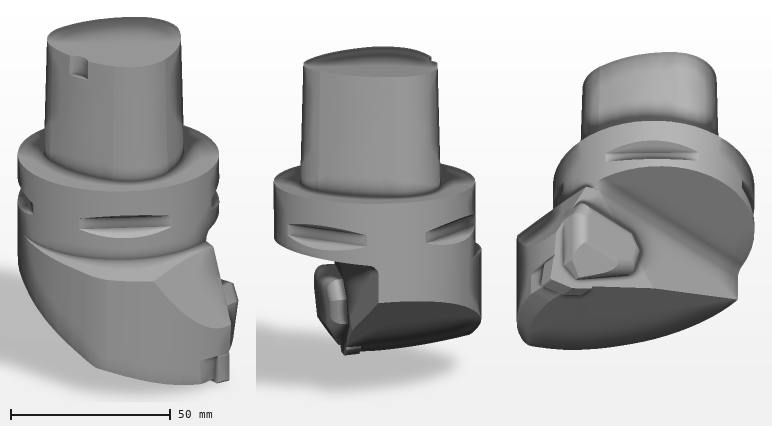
import cadquery as cq
import math


flange_radius = 31.5
flange_height = 23.0
groove_depth_z = 11.9
groove_floor_distance = 27.9
groove_floor_width = 3.5
groove_wall_angle = 30
groove_count = 4
first_groove_direction = 45

lobe_count = 3
first_side_direction = -90
shank_length = 38.0
shank_side_reach = 20.3
shank_lobe_reach = 23.5
shank_side_radius = 37.5
shank_shrink = 0.98
notch_radius = 5.0
notch_depth = 1.8
notch_height = 6.3

head_end_x = 44.4
head_front_y = -35.6
head_bottom = -72.1
tangent_line_direction = 238
tangent_line_length = 2.9
front_flat_start_x = 10.9
front_flat_end_x = 16.8
end_arc_radius = 38.8
end_arc_start_x = 24.1
end_arc_middle_direction = -30
shoulder_angle = 15
end_chamfer_x = 34.4
end_chamfer_z = -23.8
end_chamfer_angle = 23.7
underside_angle = 25
underside_z = -31.6
relief_arc_start = (-35.4, -55.8)
relief_arc_middle = (-25.3, -60.0)
relief_arc_end = (-9.3, -63.2)

back_face_y = 5.9
back_fillet_radius = 3.1
back_roof_edge_z = -18.0
back_roof_angle = 4.7
rake_angle_x = 5.9
rake_angle_z = 5.4
rake_start_x = 5.7
rake_start_z = -48.9
seat_step_x = 42.8
seat_step_z = -55.2

clamp_outline = [(18.5, -35.4), (13.9, -40.9), (16.0, -49.2), (35.5, -60.7),
                 (40.7, -57.7), (42.2, -41.0), (39.6, -35.4)]
clamp_top_y = 10.7
clamp_top_z = -39.1
clamp_top_angle = 5
clamp_nose_y = 9.2
clamp_nose_z = -52.2
clamp_nose_angle = 35
clamp_edge_radius = 3.7

insert_corner_count = 3
insert_inscribed_radius = 6.4
insert_corner_angle = 80
insert_nose_radius = 0.8
insert_thickness = 4.7
tip_direction = 45
insert_tip_x = 45.2
insert_tip_z = -65.1

clearance = 82.4


def point_on(center, radius, degrees):
    angle = math.radians(degrees)
    return (center[0] + radius * math.cos(angle), center[1] + radius * math.sin(angle))


def half_space(origin, x_direction, normal):
    """Large block that lies on the side of a plane that the normal points to."""
    plane = cq.Plane(origin=origin, xDir=x_direction, normal=normal)
    return cq.Workplane(plane).rect(2 * clearance, 2 * clearance).extrude(clearance)


rake_slope_x = math.tan(math.radians(rake_angle_x))
rake_slope_z = math.tan(math.radians(rake_angle_z))
rake_normal = (rake_slope_x, 1, -rake_slope_z)
rake_x_direction = (1, -rake_slope_x, 0)


def rake_y(x, z):
    """Y of the inclined plane that holds the rake face of the insert."""
    return back_face_y - rake_slope_x * (x - rake_start_x) + rake_slope_z * (z - rake_start_z)


def shank_profile(z, shrink):
    """Three flat arcs joined by three tangent lobe arcs; one lobe points to +Y."""
    side = shank_side_reach - shrink
    lobe = shank_lobe_reach - shrink
    side_radius = shank_side_radius - shrink
    side_offset = side_radius - side
    lobe_radius = (side_radius**2 - lobe**2 - side_offset**2 - lobe * side_offset) / (
        2 * side_radius - 2 * lobe - side_offset)
    lobe_offset = lobe - lobe_radius
    side_to_lobe = 180 / lobe_count
    lobe_along, lobe_across = point_on((side_offset, 0), lobe_offset, side_to_lobe)
    half_angle = math.degrees(math.atan2(lobe_across, lobe_along))
    center = point_on((0, 0), side_offset, first_side_direction + 180)
    first_point = point_on(center, side_radius, first_side_direction - half_angle)
    profile = cq.Workplane("XY", origin=(0, 0, z)).moveTo(*first_point)
    for index in range(lobe_count):
        direction = first_side_direction + 2 * side_to_lobe * index
        center = point_on((0, 0), side_offset, direction + 180)
        side_middle = point_on(center, side_radius, direction)
        side_end = point_on(center, side_radius, direction + half_angle)
        profile = profile.threePointArc(side_middle, side_end)
        next_direction = direction + 2 * side_to_lobe
        next_center = point_on((0, 0), side_offset, next_direction + 180)
        lobe_tip = point_on((0, 0), lobe, direction + side_to_lobe)
        lobe_end = point_on(next_center, side_radius, next_direction - half_angle)
        profile = profile.threePointArc(lobe_tip, lobe_end)
    return profile.close().val()


def make_shank():
    base = shank_profile(0, 0)
    end = shank_profile(shank_length, shank_shrink)
    shank = cq.Workplane(cq.Solid.makeLoft([base, end], True))
    notch_y = -(shank_side_reach - shank_shrink) + notch_depth - notch_radius
    notch = (cq.Workplane("XY", origin=(0, notch_y, shank_length - notch_height))
             .circle(notch_radius).extrude(notch_height))
    return shank.cut(notch)


def make_groove():
    """Straight trapezoidal groove on the +X side of the flange."""
    radial = flange_radius - groove_floor_distance
    floor_half = groove_floor_width / 2
    mouth_half = floor_half + radial * math.tan(math.radians(groove_wall_angle))
    return (cq.Workplane("XZ", origin=(0, 0, -groove_depth_z))
            .polyline([(groove_floor_distance, -floor_half), (flange_radius, -mouth_half),
                       (flange_radius, mouth_half), (groove_floor_distance, floor_half)])
            .close().extrude(flange_radius, both=True))


def make_flange():
    flange = cq.Workplane("XY").circle(flange_radius).extrude(-flange_height)
    for index in range(groove_count):
        direction = first_groove_direction + index * 360 / groove_count
        flange = flange.cut(make_groove().rotate((0, 0, 0), (0, 0, 1), direction))
    return flange


def make_head_block():
    """Upright block with the plan outline of the head."""
    end_center_x = head_end_x - end_arc_radius
    end_arc_start_y = -math.sqrt(end_arc_radius**2 - (end_arc_start_x - end_center_x)**2)
    leave = point_on((0, 0), flange_radius, tangent_line_direction)
    line_end = point_on(leave, tangent_line_length, tangent_line_direction + 90)
    back_left = (-math.sqrt(flange_radius**2 - back_face_y**2), back_face_y)
    end_arc_middle = point_on((end_center_x, 0), end_arc_radius, end_arc_middle_direction)
    return (cq.Workplane("XY", origin=(0, 0, -flange_height))
            .moveTo(*back_left)
            .threePointArc((-flange_radius, 0), leave)
            .lineTo(*line_end)
            .tangentArcPoint((front_flat_start_x, head_front_y), relative=False)
            .lineTo(front_flat_end_x, head_front_y)
            .tangentArcPoint((end_arc_start_x, end_arc_start_y), relative=False)
            .threePointArc(end_arc_middle, (head_end_x, 0))
            .lineTo(head_end_x, back_face_y)
            .close().extrude(head_bottom + flange_height))


def make_head():
    shoulder_drop = (clearance - flange_radius) * math.tan(math.radians(shoulder_angle))
    above_shoulder = (cq.Workplane("XZ")
                      .polyline([(flange_radius, -flange_height), (clearance, -flange_height),
                                 (clearance, -flange_height - shoulder_drop)])
                      .close().revolve(360, (0, 0, 0), (0, 1, 0)))
    chamfer = math.radians(end_chamfer_angle)
    beyond_end = half_space((end_chamfer_x, 0, end_chamfer_z), (0, 1, 0),
                            (math.cos(chamfer), 0, math.sin(chamfer)))
    slope = math.radians(underside_angle)
    below_underside = half_space((-flange_radius, 0, underside_z), (0, 1, 0),
                                 (-math.sin(slope), 0, -math.cos(slope)))
    below_relief = (cq.Workplane("YZ").moveTo(*relief_arc_start)
                    .threePointArc(relief_arc_middle, relief_arc_end)
                    .lineTo(back_face_y, relief_arc_end[1])
                    .lineTo(back_face_y, -clearance)
                    .lineTo(-clearance, -clearance)
                    .lineTo(-clearance, relief_arc_start[1])
                    .close().extrude(clearance))
    behind_rake = half_space((rake_start_x, back_face_y, rake_start_z), rake_x_direction, rake_normal)
    beside_seat = (cq.Workplane("XY", origin=(seat_step_x, 0, seat_step_z))
                   .rect(clearance, 2 * clearance).extrude(-clearance)
                   .translate((clearance / 2, 0, 0)))
    head = make_head_block()
    for cutter in (above_shoulder, beyond_end, below_underside, below_relief, behind_rake, beside_seat):
        head = head.cut(cutter)
    return head


def make_back_clearance():
    """Space behind the head, under the sloping roof that is cut into the flange."""
    fall = math.tan(math.radians(back_roof_angle))
    corner_z = back_roof_edge_z - (flange_radius - back_face_y) * fall
    outer_z = back_roof_edge_z + (clearance - flange_radius) * fall
    return (cq.Workplane("YZ")
            .polyline([(back_face_y, head_bottom), (back_face_y, corner_z),
                       (clearance, outer_z), (clearance, head_bottom)])
            .close().extrude(clearance, both=True)
            .edges(cq.NearestToPointSelector((0, back_face_y, corner_z)))
            .fillet(back_fillet_radius))


def make_clamp():
    """Strap on the rake plane, with a gently inclined top and a steeper nose."""
    blank_depth = 2 * clamp_top_y
    clamp = cq.Workplane("XZ").polyline(clamp_outline).close().extrude(-blank_depth)
    behind_rake = half_space((rake_start_x, back_face_y, rake_start_z), rake_x_direction, rake_normal)
    clamp = clamp.intersect(behind_rake)
    for y, z, degrees in ((clamp_top_y, clamp_top_z, clamp_top_angle),
                          (clamp_nose_y, clamp_nose_z, clamp_nose_angle)):
        angle = math.radians(degrees)
        clamp = clamp.cut(half_space((0, y, z), (1, 0, 0), (0, math.cos(angle), -math.sin(angle))))
    return clamp.faces(">Y").edges().fillet(clamp_edge_radius)


def make_insert():
    """Six-sided plate with three acute corners, lying under the rake plane."""
    half_corner = insert_corner_angle / 2
    corner_reach = insert_inscribed_radius / math.sin(math.radians(half_corner))
    tip_to_blunt = 180 / insert_corner_count
    blunt_half_corner = 180 - tip_to_blunt - half_corner
    blunt_reach = insert_inscribed_radius / math.sin(math.radians(blunt_half_corner))
    tip = (insert_tip_x, rake_y(insert_tip_x, insert_tip_z), insert_tip_z)
    plane = cq.Plane(origin=tip, xDir=rake_x_direction, normal=rake_normal)
    center = point_on((0, 0), corner_reach, tip_direction + 180)
    outline = []
    for index in range(insert_corner_count):
        direction = tip_direction + index * 360 / insert_corner_count
        outline.append(point_on(center, corner_reach, direction))
        outline.append(point_on(center, blunt_reach, direction + tip_to_blunt))
    plate = cq.Workplane(plane).polyline(outline).close().extrude(-insert_thickness)
    for acute_corner in outline[::2]:
        corner = plane.toWorldCoords((*acute_corner, -insert_thickness / 2))
        plate = plate.edges(cq.NearestToPointSelector(corner.toTuple())).fillet(insert_nose_radius)
    return plate


insert = make_insert()

holder = make_flange().union(make_head()).cut(make_back_clearance())
holder = holder.union(make_shank()).union(make_clamp()).cut(insert)
result = cq.Compound.makeCompound([holder.solids().val(), insert.solids().val()])